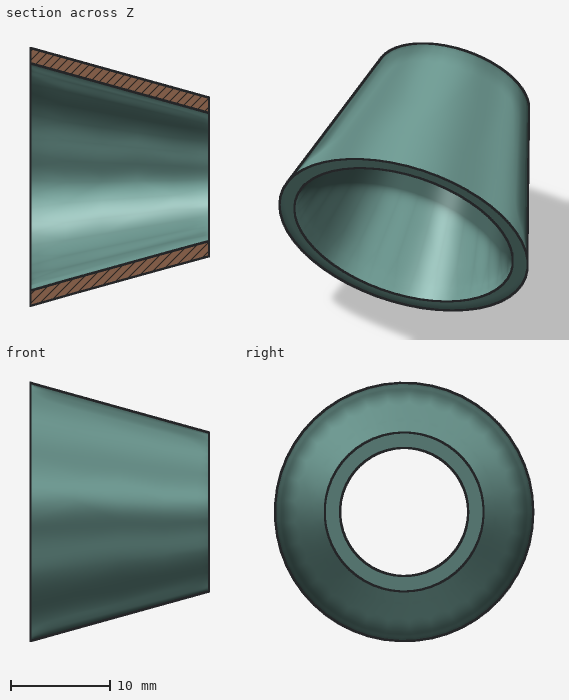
import cadquery as cq
import math

length = 18.0
wide_diameter = 26.0
narrow_diameter = 16.0
wall_thickness = 1.5

wide_radius = wide_diameter / 2
narrow_radius = narrow_diameter / 2

half_angle = math.atan2(wide_radius - narrow_radius, length)
radial_wall = wall_thickness / math.cos(half_angle)

wall_section = (
    cq.Workplane("XY")
    .moveTo(0, wide_radius - radial_wall)
    .lineTo(0, wide_radius)
    .lineTo(length, narrow_radius)
    .lineTo(length, narrow_radius - radial_wall)
    .close()
)

result = wall_section.revolve(360, (0, 0, 0), (1, 0, 0))